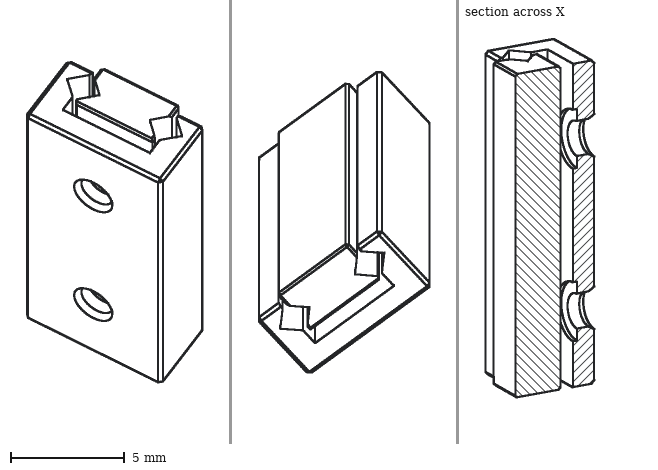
import cadquery as cq

length = 15.0
rail_width = 7.0
rail_height = 3.6
rail_chamfer = 0.15
carriage_width = 4.0
carriage_front_y = 1.71
carriage_back_y = 4.0
carriage_chamfer = 0.1

channel_floor_y = 1.1
channel_width = 4.48

groove_y = 2.62
groove_half_height = 0.7
rail_groove_depth = 0.72
carriage_groove_depth = 0.7

hole_spacing = 8.0
hole_diameter = 1.6
countersink_diameter = 1.96
countersink_angle = 60
counterbore_diameter = 2.72
counterbore_depth = 0.2


def bar(width, y_min, y_max):
    """Full-length rectangular bar, centred on X and standing on Z = 0."""
    return (
        cq.Workplane("XY")
        .box(width, y_max - y_min, length, centered=(True, False, False))
        .translate((0, y_min, 0))
    )


def groove_cutter(mouth_x, depth, direction):
    """Full-length wedge that cuts a V groove from mouth_x in the given X direction."""
    return (
        cq.Workplane("XY")
        .moveTo(mouth_x, groove_y - groove_half_height)
        .lineTo(mouth_x + direction * depth, groove_y)
        .lineTo(mouth_x, groove_y + groove_half_height)
        .close()
        .extrude(length)
    )


def drill_mounting_holes(rail):
    """Holes countersunk on the outer face and counterbored on the channel floor."""
    rail = (
        rail.faces("<Y")
        .workplane(origin=(0, 0, length / 2))
        .rarray(0.15, hole_spacing, 1, 2)
        .cskHole(hole_diameter, countersink_diameter, countersink_angle, depth=channel_floor_y)
    )
    counterbores = (
        cq.Workplane("XZ", origin=(0, channel_floor_y, length / 2))
        .rarray(0.15, hole_spacing, 1, 2)
        .circle(counterbore_diameter / 2)
        .extrude(counterbore_depth)
    )
    return rail.cut(counterbores)


def make_rail():
    """U-shaped rail with a V groove in each wall of its channel."""
    rail = bar(rail_width, 0, rail_height).edges().chamfer(rail_chamfer)
    rail = rail.cut(bar(channel_width, channel_floor_y, rail_height))
    for side in (-1, 1):
        rail = rail.cut(groove_cutter(side * channel_width / 2, rail_groove_depth, side))
    return drill_mounting_holes(rail)


def is_on_front_lip(edge, side):
    """True for an edge on the lip in front of the groove, on the given X side."""
    centre = edge.Center()
    return side * centre.x > carriage_width / 4 and centre.y < groove_y


def make_carriage():
    """Carriage that slides between the rail walls, with a V groove in each side."""
    carriage = bar(carriage_width, carriage_front_y, carriage_back_y)
    for side in (-1, 1):
        carriage = carriage.cut(groove_cutter(side * carriage_width / 2, carriage_groove_depth, -side))

    end_edges = carriage.edges("|X or |Y").filter(lambda edge: not is_on_front_lip(edge, -1))
    corner_edges = carriage.edges("|Z and (<Y or >Y)").filter(lambda edge: not is_on_front_lip(edge, 1))
    return end_edges.add(corner_edges).chamfer(carriage_chamfer)


rail = make_rail()
carriage = make_carriage()
result = cq.Compound.makeCompound([rail.val(), carriage.val()])